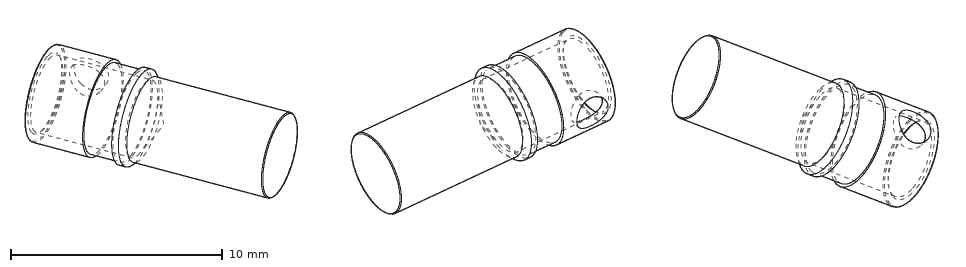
import cadquery as cq
import math

head_diameter = 4.8
groove_diameter = 4.5
body_diameter = 4.2
head_length = 3.0
groove_length = 1.5
collar_length = 0.35
body_length = 7.0
edge_chamfer = 0.05

taper_length = (head_diameter - body_diameter) / 2

socket_diameter = 3.8
socket_depth = 5.0
socket_lead_in = 0.1
drill_point_angle = 118.0

side_hole_diameter = 1.8
side_hole_x = 1.35

groove_start = head_length
collar_start = groove_start + groove_length
taper_start = collar_start + collar_length
body_start = taper_start + taper_length
total_length = body_start + body_length


def make_turned_body():
    """Revolve the outer profile about the X axis."""
    head_radius = head_diameter / 2
    groove_radius = groove_diameter / 2
    body_radius = body_diameter / 2
    profile = (
        cq.Workplane("XY")
        .moveTo(0, 0)
        .lineTo(0, head_radius - edge_chamfer)
        .lineTo(edge_chamfer, head_radius)
        .lineTo(groove_start, head_radius)
        .lineTo(groove_start, groove_radius)
        .lineTo(collar_start, groove_radius)
        .lineTo(collar_start, head_radius)
        .lineTo(taper_start, head_radius)
        .lineTo(body_start, body_radius)
        .lineTo(total_length - edge_chamfer, body_radius)
        .lineTo(total_length, body_radius - edge_chamfer)
        .lineTo(total_length, 0)
        .close()
    )
    return profile.revolve(360, (0, 0, 0), (1, 0, 0))


def make_socket():
    """Revolve the bore with its lead-in chamfer and conical floor."""
    socket_radius = socket_diameter / 2
    cone_depth = socket_radius / math.tan(math.radians(drill_point_angle / 2))
    profile = (
        cq.Workplane("XY")
        .moveTo(0, 0)
        .lineTo(0, socket_radius + socket_lead_in)
        .lineTo(socket_lead_in, socket_radius)
        .lineTo(socket_depth, socket_radius)
        .lineTo(socket_depth + cone_depth, 0)
        .close()
    )
    return profile.revolve(360, (0, 0, 0), (1, 0, 0))


def make_side_hole():
    """Radial cylinder running from the part axis out past the +Y surface."""
    return cq.Workplane("XZ", origin=(side_hole_x, 0, 0)).circle(side_hole_diameter / 2).extrude(-head_diameter)


result = make_turned_body().cut(make_socket()).cut(make_side_hole())